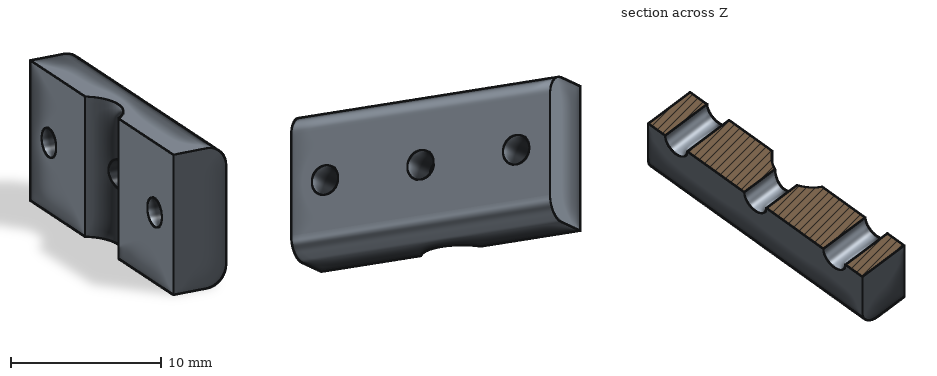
import cadquery as cq

length = 19.95
depth = 4.0
height = 10.0
rear_edge_radius = 1.5

groove_width = 4.63
groove_depth = 1.25

hole_diameter = 2.03
hole_spacing = 7.36


def make_block():
    """Block centred in X and Z, with its two long rear edges rounded."""
    block = cq.Workplane("XY").box(length, depth, height, centered=(True, False, True))
    return block.faces(">Y").edges("|X").fillet(rear_edge_radius)


def make_groove():
    """Circular segment, extruded over the full height of the block."""
    half_width = groove_width / 2
    return (
        cq.Workplane("XY")
        .moveTo(-half_width, 0)
        .threePointArc((0, groove_depth), (half_width, 0))
        .close()
        .extrude(height / 2, both=True)
    )


def make_holes():
    """Cylinders along Y that pass through the whole depth."""
    return (
        cq.Workplane("XZ")
        .pushPoints([(-hole_spacing, 0), (0, 0), (hole_spacing, 0)])
        .circle(hole_diameter / 2)
        .extrude(-depth)
    )


result = make_block().cut(make_groove()).cut(make_holes())